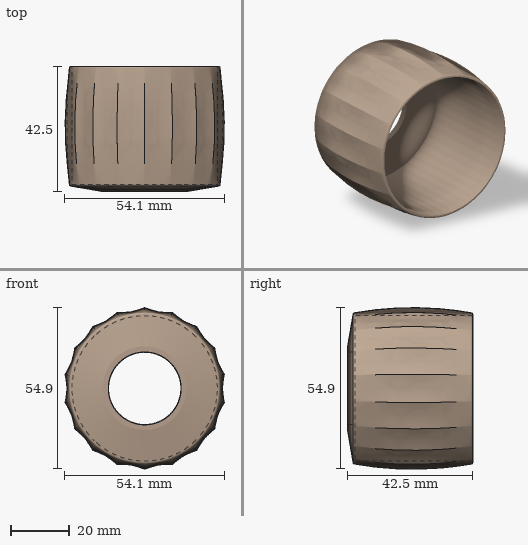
import cadquery as cq
import math


ridge_count = 18
ridge_radius = 27.45
valley_radius = 26.4
end_radius = 25.55
body_length = 40.7
end_rounding = 0.7

overall_length = 42.5
cone_base_radius = end_radius - end_rounding
cone_tip_radius = 14.2

hole_radius = 12.3
cavity_radius = 24.7
front_wall = 2.45

body_front = -body_length / 2
body_back = body_length / 2
tip = body_back - overall_length
cavity_front = tip + front_wall


def polar(radius, angle):
    """Point at an angle from the +Z axis, in an XZ section."""
    return (radius * math.sin(angle), radius * math.cos(angle))


def section(y, crest_radius, dip_radius):
    """Closed ring of arcs, each running from crest to crest through a dip."""
    pitch = 2 * math.pi / ridge_count
    ring = cq.Workplane("XZ", origin=(0, y, 0)).moveTo(*polar(crest_radius, 0))
    for index in range(ridge_count):
        dip = polar(dip_radius, (index + 0.5) * pitch)
        crest = polar(crest_radius, (index + 1) * pitch)
        ring = ring.threePointArc(dip, crest)
    return ring.close().val()


def cylinder(y_start, y_end, radius):
    return cq.Workplane("XZ", origin=(0, y_end, 0)).circle(radius).extrude(y_end - y_start)


def scalloped_barrel():
    """Grooves are deepest at mid length and fade out at the round ends."""
    rings = [
        section(body_front, end_radius, end_radius),
        section(0, ridge_radius, valley_radius),
        section(body_back, end_radius, end_radius),
    ]
    barrel = cq.Workplane(cq.Solid.makeLoft(rings))
    return barrel.faces("<Y or >Y").edges().fillet(end_rounding)


def front_cone():
    cone = cq.Solid.makeCone(
        cone_base_radius,
        cone_tip_radius,
        body_front - tip,
        pnt=cq.Vector(0, body_front, 0),
        dir=cq.Vector(0, -1, 0),
    )
    return cq.Workplane(cone)


cavity = cylinder(cavity_front, body_back, cavity_radius)
opening = cylinder(tip, cavity_front, hole_radius)

result = scalloped_barrel().union(front_cone()).cut(cavity).cut(opening)